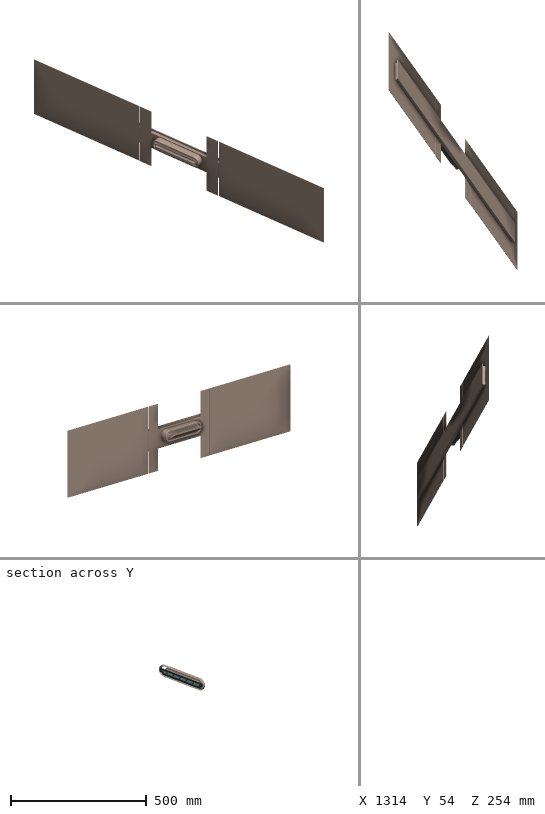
import cadquery as cq

TOTAL_LENGTH = 1314.0
SHEET_HEIGHT = 254.0

PLATE_LENGTH = 1200.0
PLATE_THICKNESS = 3.2
PLATE_TOP = 37.0
RAIL_BOTTOM = -45.0
RAIL_DEPTH = 13.0
PLATE_END_LIP = 4.0
BAR_TOP = 29.0
BAR_TAPER = 1.6

OPENING_WIDTH = 252.0
STRIP_WIDTH = 51.0
STRIP_GAP = 4.0
SHEET_THICKNESS = 1.0
STRIP_THICKNESS = 1.7

HOUSING_LENGTH = 210.0
HOUSING_HEIGHT = 46.0
HOUSING_DEPTH = 24.0
HOUSING_WALL = 2.0
HOUSING_FLOOR = 8.0
HOUSING_RIM_THICKNESS = 4.0
HOUSING_RIM_WIDTH = 7.0
HOUSING_EDGE_RADIUS = 3.0

ROOT_LENGTH = 197.0
ROOT_TOP = 12.0
ROOT_BOTTOM = -5.0
ROOT_DEPTH = 10.0
SCOOP_LENGTH = 176.0
SCOOP_REACH = 41.0
SCOOP_TIP_TOP = 10.0
SCOOP_TIP_BOTTOM = 3.0
SCOOP_BASE_TOP = 3.0
SCOOP_BASE_BOTTOM = -13.0
SCOOP_CORNER_RADIUS = 16.0
SCOOP_UPPER_BEND = (-26.0, 0.0)
SCOOP_LOWER_BEND = (-29.0, -8.0)


def make_rail():
    """Back plate with a bar in front of it whose top and bottom faces taper forward."""
    bar_length = PLATE_LENGTH - 2 * PLATE_END_LIP
    plate_front = RAIL_DEPTH - PLATE_THICKNESS
    plate = cq.Workplane("XY", origin=(0, plate_front, RAIL_BOTTOM)).box(
        PLATE_LENGTH, PLATE_THICKNESS, PLATE_TOP - RAIL_BOTTOM, centered=(True, False, False)
    )
    bar = (
        cq.Workplane("YZ")
        .moveTo(plate_front, RAIL_BOTTOM)
        .lineTo(0, RAIL_BOTTOM + BAR_TAPER)
        .lineTo(0, BAR_TOP - BAR_TAPER)
        .lineTo(plate_front, BAR_TOP)
        .close()
        .extrude(bar_length / 2, both=True)
    )
    return plate.union(bar)


def make_upright(width, thickness, center_x):
    """Flat upright piece of full sheet height lying on the rail's front face."""
    return cq.Workplane("XZ").center(center_x, 0).rect(width, SHEET_HEIGHT).extrude(thickness)


def make_strip(side):
    """Edge strip bordering the opening on one side (-1 left, +1 right)."""
    return make_upright(STRIP_WIDTH, STRIP_THICKNESS, side * (OPENING_WIDTH + STRIP_WIDTH) / 2)


def make_sheet(side):
    """Sealing sheet from the strip's outer edge, past a narrow gap, to the outer end."""
    inner = OPENING_WIDTH / 2 + STRIP_WIDTH + STRIP_GAP
    outer = TOTAL_LENGTH / 2
    return make_upright(outer - inner, SHEET_THICKNESS, side * (inner + outer) / 2)


def make_stadium(inset, back, front):
    """Block with the housing's stadium outline, inset evenly, between two distances forward of the rail."""
    return (
        cq.Workplane("XZ", origin=(0, -back, 0))
        .slot2D(HOUSING_LENGTH - 2 * inset, HOUSING_HEIGHT - 2 * inset)
        .extrude(front - back)
    )


def make_housing():
    """Thin-walled cup with a rounded outer front edge and a mouth narrowed by the inward rim."""
    cup = make_stadium(0, 0, HOUSING_DEPTH).faces("<Y").edges().fillet(HOUSING_EDGE_RADIUS)
    cavity = make_stadium(HOUSING_WALL, HOUSING_FLOOR, HOUSING_DEPTH - HOUSING_RIM_THICKNESS)
    mouth = make_stadium(HOUSING_RIM_WIDTH, HOUSING_FLOOR, HOUSING_DEPTH)
    return cup.cut(cavity).cut(mouth)


def make_root_bar():
    """Bar lying on the recess floor, with a top face that slopes down towards the front."""
    front = -HOUSING_FLOOR - ROOT_DEPTH
    return (
        cq.Workplane("YZ")
        .moveTo(-HOUSING_FLOOR, ROOT_TOP)
        .lineTo(front, SCOOP_BASE_TOP)
        .lineTo(front, ROOT_BOTTOM)
        .lineTo(-HOUSING_FLOOR, ROOT_BOTTOM)
        .close()
        .extrude(ROOT_LENGTH / 2, both=True)
    )


def make_scoop():
    """Curved scoop from the recess floor to the raised tip, with rounded tip corners in plan."""
    profile = (
        cq.Workplane("YZ")
        .moveTo(-HOUSING_FLOOR, SCOOP_BASE_TOP)
        .threePointArc(SCOOP_UPPER_BEND, (-SCOOP_REACH, SCOOP_TIP_TOP))
        .lineTo(-SCOOP_REACH, SCOOP_TIP_BOTTOM)
        .threePointArc(SCOOP_LOWER_BEND, (-HOUSING_FLOOR, SCOOP_BASE_BOTTOM))
        .close()
        .extrude(SCOOP_LENGTH / 2, both=True)
    )
    plan = (
        cq.Workplane("XY", origin=(0, 0, -HOUSING_HEIGHT))
        .rect(SCOOP_LENGTH, 2 * SCOOP_REACH)
        .extrude(2 * HOUSING_HEIGHT)
        .edges("|Z")
        .fillet(SCOOP_CORNER_RADIUS)
    )
    return profile.intersect(plan)


SIDES = (-1, 1)
rail = make_rail()
sheets = [make_sheet(side) for side in SIDES]
strips = [make_strip(side) for side in SIDES]
housing = make_housing()
lip = make_root_bar().union(make_scoop())

bodies = [rail, *sheets, *strips, housing, lip]
result = cq.Compound.makeCompound([body.val() for body in bodies])